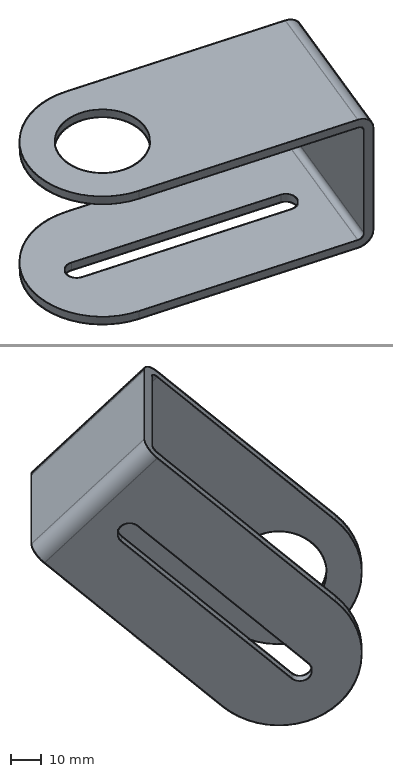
import cadquery as cq

length = 112.0
width = 54.0
height = 56.0
thickness = 3.5
inner_bend_radius = 2.2
outer_bend_radius = inner_bend_radius + thickness

hole_diameter = 31.0
slot_width = 7.8
slot_length = 83.5
slot_front_margin = 13.8

tip_radius = width / 2
slot_center_y = slot_front_margin + slot_length / 2


def bent_strap():
    """U-shaped strap with two bends, open towards -Y."""
    outer = (
        cq.Workplane("XY")
        .box(width, length, height, centered=(True, False, False))
        .edges("|X and >Y")
        .fillet(outer_bend_radius)
    )
    inner = (
        cq.Workplane("XY")
        .box(width, length - thickness, height - 2 * thickness, centered=(True, False, False))
        .edges("|X and >Y")
        .fillet(inner_bend_radius)
        .translate((0, 0, thickness))
    )
    return outer.cut(inner)


def rounded_outline():
    """Full-height prism that gives both arms a semicircular tip."""
    return (
        cq.Workplane("XY")
        .moveTo(-tip_radius, length)
        .lineTo(-tip_radius, tip_radius)
        .threePointArc((0, 0), (tip_radius, tip_radius))
        .lineTo(tip_radius, length)
        .close()
        .extrude(height)
    )


def upper_hole():
    """Round hole through the upper arm, concentric with its tip."""
    return (
        cq.Workplane("XY", origin=(0, tip_radius, height - thickness))
        .circle(hole_diameter / 2)
        .extrude(thickness)
    )


def lower_slot():
    """Long slot through the lower arm, along its centre line."""
    return (
        cq.Workplane("XY", origin=(0, slot_center_y, 0))
        .slot2D(slot_length, slot_width, 90)
        .extrude(thickness)
    )


result = bent_strap().intersect(rounded_outline()).cut(upper_hole()).cut(lower_slot())